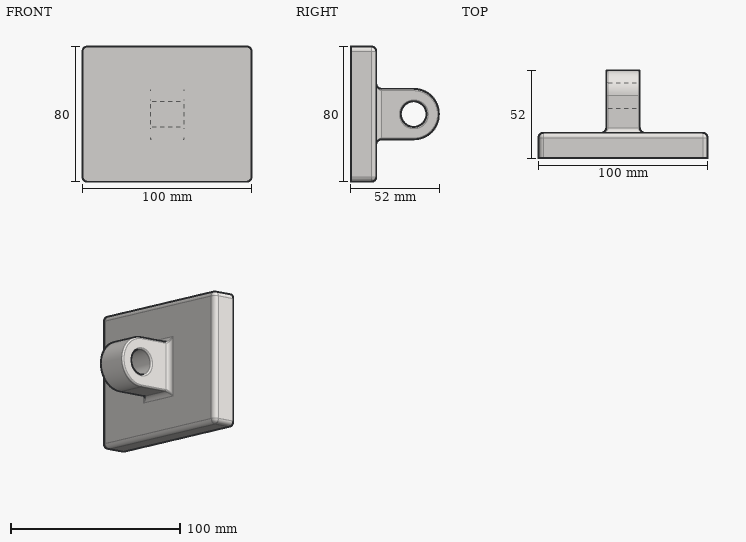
import cadquery as cq

plate_width = 100.0
plate_height = 80.0
plate_thickness = 15.0
plate_round = 3.0

lug_width = 20.0
lug_radius = 15.0
total_depth = 52.0
lug_edge_round = 1.0
hole_diameter = 15.0
hole_edge_break = 1.0
root_fillet = 3.0

hole_y = total_depth - lug_radius


def make_plate():
    """Plate with rounded corners and a rounded back rim."""
    block = cq.Workplane("XY").box(
        plate_width, plate_thickness, plate_height, centered=(True, False, True)
    )
    return block.edges("|Y").fillet(plate_round).faces(">Y").edges().fillet(plate_round)


def make_lug():
    """Round-ended lug, started at the plate's front face."""
    profile = (
        cq.Workplane("YZ")
        .moveTo(0, -lug_radius)
        .lineTo(hole_y, -lug_radius)
        .threePointArc((total_depth, 0), (hole_y, lug_radius))
        .lineTo(0, lug_radius)
        .close()
    )
    return profile.extrude(lug_width / 2, both=True)


def blend_root(body):
    """Fillet the seam where the lug meets the plate's back face."""
    margin = 1.0
    seam_zone = cq.selectors.BoxSelector(
        (-lug_width / 2 - margin, plate_thickness - margin, -lug_radius - margin),
        (lug_width / 2 + margin, plate_thickness + margin, lug_radius + margin),
    )
    return body.edges(seam_zone).fillet(root_fillet)


def round_lug_edges(body):
    """Round both lug side outlines; the rounding runs on down the corners of the root fillet."""
    reach = lug_width / 2 + lug_edge_round
    lug_zone = cq.selectors.BoxSelector(
        (-reach, plate_thickness + root_fillet / 2, -lug_radius - lug_edge_round),
        (reach, total_depth + lug_edge_round, lug_radius + lug_edge_round),
    )
    outline = body.edges(lug_zone).edges("not(|X or |Z)")
    return outline.fillet(lug_edge_round)


def make_hole():
    """Through-hole cutter along X, with rounded mouths on both lug sides."""
    hole_radius = hole_diameter / 2
    half_width = lug_width / 2
    mouth_radius = hole_radius + hole_edge_break
    shoulder = half_width - hole_edge_break
    section = (
        cq.Workplane("XY")
        .moveTo(-half_width, 0)
        .lineTo(-half_width, mouth_radius)
        .radiusArc((-shoulder, hole_radius), -hole_edge_break)
        .lineTo(shoulder, hole_radius)
        .radiusArc((half_width, mouth_radius), -hole_edge_break)
        .lineTo(half_width, 0)
        .close()
    )
    return section.revolve(360, (0, 0, 0), (1, 0, 0)).translate((0, hole_y, 0))


body = blend_root(make_plate().union(make_lug()))
result = round_lug_edges(body).cut(make_hole())